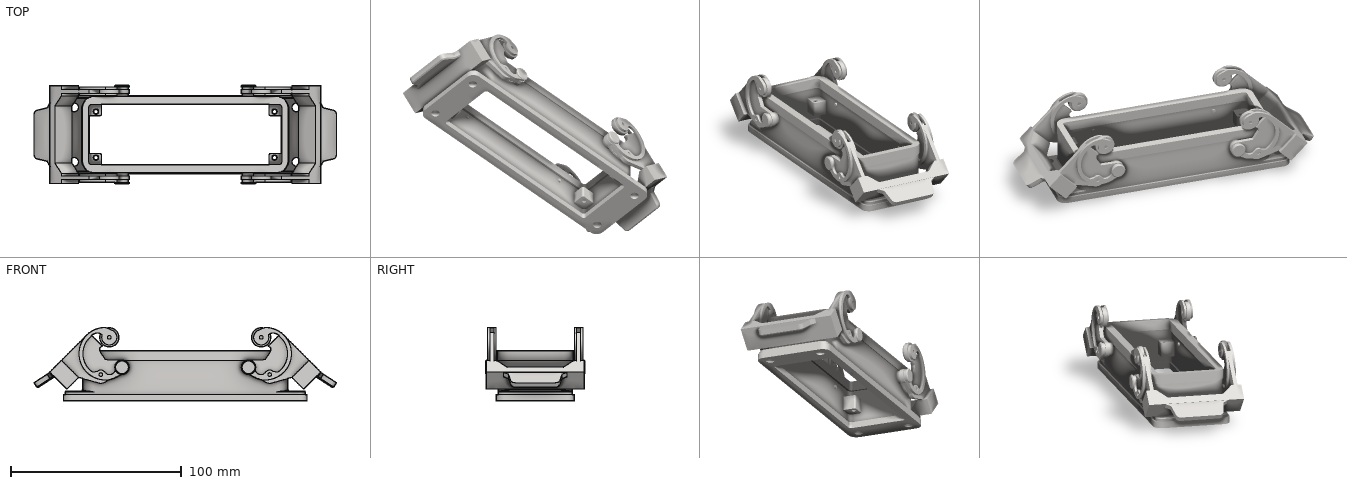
import cadquery as cq
import math

FLANGE_LENGTH, FLANGE_WIDTH, FLANGE_TOP = 142.7, 45.8, 3.7
FLANGE_CORNER = 5.0
STEP_LENGTH, STEP_TOP = 140.5, 5.8
STEP_CORNER = 3.9
STEP_CHAMFER = 0.5
WALL_LENGTH, WALL_WIDTH, WALL_TOP = 120.0, 43.5, 23.5
WALL_CORNER = 6.5
FOOT_FLARE = 0.7
RIM_LENGTH, RIM_WIDTH, RIM_TOP = 120.4, 44.6, 29.4
MOUTH_LENGTH, MOUTH_WIDTH, MOUTH_CORNER = 113.0, 35.2, 1.8
CAVITY_LENGTH, CAVITY_WIDTH, CAVITY_CORNER = 115.0, 37.9, 2.7
OPENING_LENGTH, OPENING_WIDTH = 111.9, 35.5

MOUNT_X, MOUNT_Y, MOUNT_RADIUS = 65.0, 16.0, 2.5
BLOCK_INNER_X, BLOCK_INNER_Y = 48.8, 11.0
BLOCK_BOTTOM, BLOCK_TOP = 9.2, 17.5
BLOCK_CORNER = 1.2
BLOCK_OVERLAP = 0.5
SCREW_X, SCREW_Y, SCREW_RADIUS = 52.2, 13.5, 1.2
SCREW_CHAMFER = 0.4

STUD_X, STUD_Z = -37.0, 19.6
STUD_HEAD_RADIUS, STUD_SHAFT_RADIUS = 4.2, 3.7
STUD_TIP = 29.0
STUD_HEAD_CHAMFER = 0.5
STUD_TAIL_RADIUS, STUD_TAIL_LENGTH = 1.0, 0.9

WEB_INNER, WEB_OUTER = 24.0, 26.4
CHEEK_INNER, CHEEK_OUTER = 22.8, 28.0
RING_X, RING_Z = -46.7, 27.6
RING_OUTER, RING_INNER = 15.4, 13.1
ROLLER_X, ROLLER_Z = -44.5, 37.2
ROLLER_RADIUS, ROLLER_CHEEK_RADIUS = 5.7, 4.5
PIN_X, PIN_Z = -49.4, 15.4
PIN_PAD_RADIUS, PIN_BELLY_RADIUS = 2.7, 5.1
CHEEK_DIP_MIDDLE = (-41.8, 16.5)
CHEEK_DIP_END = (-45.7, 15.5)
DIMPLE_RADIUS, DIMPLE_DEPTH = 1.0, 0.5
WEB_REACH, WEB_END_WIDTH = 22.8, 11.0
THROAT_X, THROAT_TOP, THROAT_BOTTOM = -49.9, 31.0, 29.0
THROAT_FLOOR_X, THROAT_FLOOR_Z = -46.7, 24.0
HOOK_ROOF = (-53.1, 39.3)
HOOK_LIP = (-49.4, 39.1)

BAR_DEPTH, BAR_HEIGHT, BAR_HALF_WIDTH = 9.7, 14.2, 28.7
BAR_TOP_Z = 23.7
BAR_FLOOR = 4.2
NOTCH_FLOOR, NOTCH_MOUTH = 16.6, 22.7

TAB_ANGLE = math.radians(33)
TAB_THICKNESS = 3.7
TAB_END_X = -88.5
TAB_ROOT_X, TAB_ROOT_Z = -78.2, 15.0
TAB_BURIED = 1.8
TAB_FLARE, TAB_FLARE_LENGTH = 18.5, 1.8
TAB_ROOT, TAB_TIP = 15.8, 13.8
TAB_CORNER = 2.7
TAB_CHAMFER = 0.7

DIAGONAL = math.sqrt(0.5)

BAR_TOP_X = RING_X - RING_Z - RING_OUTER / DIAGONAL + BAR_TOP_Z


def on_slope(up, across):
    """Point in the XZ plane, up the 45 degree lever edge and down across it."""
    return BAR_TOP_X + (up + across) * DIAGONAL, BAR_TOP_Z + (up - across) * DIAGONAL


def on_circle(x, z, radius, degrees):
    angle = math.radians(degrees)
    return x + radius * math.cos(angle), z + radius * math.sin(angle)


def on_ring(radius, degrees):
    return on_circle(RING_X, RING_Z, radius, degrees)


def rounded_block(length, width, bottom, top, corner):
    block = cq.Workplane("XY", origin=(0, 0, bottom)).rect(length, width).extrude(top - bottom)
    return block.edges("|Z").fillet(corner)


def disc(x, z, radius, inner, outer):
    """Cylinder along Y on the -Y side, between two distances from the XZ plane."""
    return cq.Workplane("XZ", origin=(x, -inner, z)).circle(radius).extrude(outer - inner)



def make_shell():
    flange = rounded_block(FLANGE_LENGTH, FLANGE_WIDTH, 0, FLANGE_TOP, FLANGE_CORNER)
    step = rounded_block(STEP_LENGTH, WALL_WIDTH, FLANGE_TOP, STEP_TOP, STEP_CORNER)
    step = step.faces(">Z").edges().chamfer(STEP_CHAMFER)
    foot_length = WALL_LENGTH + 2 * FOOT_FLARE
    foot_width = WALL_WIDTH - 2 * STEP_CHAMFER
    foot = rounded_block(foot_length, foot_width, FLANGE_TOP, STEP_TOP + FOOT_FLARE, WALL_CORNER)
    foot = foot.faces(">Z").edges().chamfer(FOOT_FLARE)
    wall = rounded_block(WALL_LENGTH, WALL_WIDTH, FLANGE_TOP, WALL_TOP, WALL_CORNER)
    rim = rounded_block(RIM_LENGTH, RIM_WIDTH, WALL_TOP, RIM_TOP, WALL_CORNER)
    shell = flange.union(step).union(foot).union(wall).union(rim)

    opening = rounded_block(OPENING_LENGTH, OPENING_WIDTH, 0, FLANGE_TOP, MOUTH_CORNER)
    cavity = rounded_block(CAVITY_LENGTH, CAVITY_WIDTH, FLANGE_TOP, WALL_TOP, CAVITY_CORNER)
    mouth = rounded_block(MOUTH_LENGTH, MOUTH_WIDTH, WALL_TOP, RIM_TOP, MOUTH_CORNER)
    return shell.cut(opening).cut(cavity).cut(mouth)


def make_corner_block():
    """Screw block in the +X +Y corner, sunk a little into both walls."""
    length = CAVITY_LENGTH / 2 + BLOCK_OVERLAP - BLOCK_INNER_X
    width = CAVITY_WIDTH / 2 + BLOCK_OVERLAP - BLOCK_INNER_Y
    block = cq.Workplane("XY", origin=(BLOCK_INNER_X, BLOCK_INNER_Y, BLOCK_BOTTOM))
    block = block.rect(length, width, centered=False).extrude(BLOCK_TOP - BLOCK_BOTTOM)
    screw = cq.Workplane("XY", origin=(SCREW_X, SCREW_Y, BLOCK_BOTTOM))
    block = block.edges("|Z").fillet(BLOCK_CORNER)
    block = block.cut(screw.circle(SCREW_RADIUS).extrude(BLOCK_TOP - BLOCK_BOTTOM))
    mouth = cq.selectors.NearestToPointSelector((SCREW_X, SCREW_Y, BLOCK_TOP))
    return block.faces(">Z").edges("%CIRCLE").edges(mouth).chamfer(SCREW_CHAMFER)


def make_housing():
    housing = make_shell()
    mounts = [(sx * MOUNT_X, sy * MOUNT_Y) for sx in (-1, 1) for sy in (-1, 1)]
    housing = housing.cut(cq.Workplane("XY").pushPoints(mounts).circle(MOUNT_RADIUS).extrude(STEP_TOP))
    block = make_corner_block()
    pair = block.union(block.mirror("XZ"))
    return housing.union(pair).union(pair.mirror("YZ"))



def make_web():
    outline = (
        cq.Workplane("XZ", origin=(0, -WEB_INNER, 0))
        .moveTo(*on_slope(0, 0))
        .lineTo(*on_slope(WEB_REACH, 0))
        .lineTo(*on_slope(WEB_REACH, WEB_END_WIDTH))
        .lineTo(THROAT_X, THROAT_TOP)
        .lineTo(THROAT_X, THROAT_BOTTOM)
        .lineTo(THROAT_FLOOR_X, THROAT_FLOOR_Z)
        .lineTo(STUD_X, STUD_Z + STUD_HEAD_RADIUS)
        .lineTo(STUD_X, STUD_Z - STUD_HEAD_RADIUS)
        .lineTo(*on_circle(PIN_X, PIN_Z, PIN_BELLY_RADIUS, -45))
        .threePointArc(
            on_circle(PIN_X, PIN_Z, PIN_BELLY_RADIUS, -90),
            on_circle(PIN_X, PIN_Z, PIN_BELLY_RADIUS, -110),
        )
        .lineTo(*on_slope(0, BAR_HEIGHT))
        .close()
    )
    web = outline.extrude(WEB_OUTER - WEB_INNER)
    web = web.union(disc(STUD_X, STUD_Z, STUD_HEAD_RADIUS, WEB_INNER, WEB_OUTER))
    return web.union(disc(ROLLER_X, ROLLER_Z, ROLLER_RADIUS, WEB_INNER, WEB_OUTER))


def make_cheek(inner, outer):
    """Hooked plate: a ring open toward the housing, from the roller round to the stud."""
    outline = (
        cq.Workplane("XZ", origin=(0, -inner, 0))
        .moveTo(*on_ring(RING_OUTER, 90))
        .threePointArc(on_ring(RING_OUTER, 180), on_ring(RING_OUTER, 290))
        .lineTo(*on_circle(STUD_X, STUD_Z, STUD_SHAFT_RADIUS, -80))
        .lineTo(STUD_X, STUD_Z)
        .lineTo(*on_circle(STUD_X, STUD_Z, STUD_SHAFT_RADIUS, 180))
        .threePointArc(CHEEK_DIP_MIDDLE, CHEEK_DIP_END)
        .lineTo(*on_circle(PIN_X, PIN_Z, PIN_PAD_RADIUS, 45))
        .threePointArc(
            on_circle(PIN_X, PIN_Z, PIN_PAD_RADIUS, 90),
            on_circle(PIN_X, PIN_Z, PIN_PAD_RADIUS, 135),
        )
        .lineTo(*on_ring(RING_INNER, 236))
        .threePointArc(on_ring(RING_INNER, 180), on_ring(RING_INNER, 130))
        .threePointArc(HOOK_ROOF, HOOK_LIP)
        .lineTo(ROLLER_X, ROLLER_Z)
        .lineTo(*on_circle(ROLLER_X, ROLLER_Z, ROLLER_CHEEK_RADIUS, 65))
        .close()
    )
    cheek = outline.extrude(outer - inner)
    return cheek.union(disc(ROLLER_X, ROLLER_Z, ROLLER_CHEEK_RADIUS, inner, outer))


def make_stud():
    shaft = disc(STUD_X, STUD_Z, STUD_SHAFT_RADIUS, (CAVITY_WIDTH + WALL_WIDTH) / 4, CHEEK_OUTER)
    head = disc(STUD_X, STUD_Z, STUD_HEAD_RADIUS, CHEEK_OUTER, STUD_TIP)
    head = head.faces("<Y").edges().chamfer(STUD_HEAD_CHAMFER)
    tail_end = CAVITY_WIDTH / 2 - STUD_TAIL_LENGTH
    tail = disc(STUD_X, STUD_Z, STUD_TAIL_RADIUS, tail_end, WALL_WIDTH / 2)
    return shaft.union(head).union(tail)


def make_arm():
    arm = make_web().union(make_cheek(CHEEK_INNER, WEB_INNER)).union(make_cheek(WEB_OUTER, CHEEK_OUTER))
    for x, z in ((ROLLER_X, ROLLER_Z), (PIN_X, PIN_Z)):
        arm = arm.cut(disc(x, z, DIMPLE_RADIUS, CHEEK_INNER, CHEEK_INNER + DIMPLE_DEPTH))
        arm = arm.cut(disc(x, z, DIMPLE_RADIUS, CHEEK_OUTER - DIMPLE_DEPTH, CHEEK_OUTER))
    return arm.union(make_stud())


def make_crossbar():
    face = cq.Plane(
        origin=(BAR_TOP_X, 0, BAR_TOP_Z), xDir=(0, -1, 0), normal=(-DIAGONAL, 0, DIAGONAL)
    )
    floor = BAR_FLOOR - BAR_DEPTH
    outline = [
        (-BAR_HALF_WIDTH, -BAR_DEPTH),
        (BAR_HALF_WIDTH, -BAR_DEPTH),
        (BAR_HALF_WIDTH, 0),
        (NOTCH_MOUTH, 0),
        (NOTCH_FLOOR, floor),
        (-NOTCH_FLOOR, floor),
        (-NOTCH_MOUTH, 0),
        (-BAR_HALF_WIDTH, 0),
    ]
    return cq.Workplane(face).polyline(outline).close().extrude(-BAR_HEIGHT)


def make_tab():
    sine = math.sin(TAB_ANGLE)
    cosine = math.cos(TAB_ANGLE)
    middle = cq.Plane(
        origin=(TAB_ROOT_X, 0, TAB_ROOT_Z), xDir=(-cosine, 0, -sine), normal=(-sine, 0, cosine)
    )
    length = (TAB_ROOT_X - TAB_END_X - TAB_THICKNESS / 2 * sine) / cosine
    outline = [
        (-TAB_BURIED, -TAB_FLARE),
        (0, -TAB_FLARE),
        (TAB_FLARE_LENGTH, -TAB_ROOT),
        (length, -TAB_TIP),
        (length, TAB_TIP),
        (TAB_FLARE_LENGTH, TAB_ROOT),
        (0, TAB_FLARE),
        (-TAB_BURIED, TAB_FLARE),
    ]
    tab = cq.Workplane(middle).polyline(outline).close().extrude(TAB_THICKNESS / 2, both=True)
    tip_corners = cq.selectors.ParallelDirSelector(middle.zDir)
    tip = cq.selectors.DirectionMinMaxSelector(middle.xDir, True)
    tab = tab.faces(tip).edges(tip_corners).fillet(TAB_CORNER)
    underside = cq.selectors.DirectionMinMaxSelector(middle.zDir, False)
    return tab.faces(underside).edges().chamfer(TAB_CHAMFER)


arm = make_arm()
lever = arm.union(arm.mirror("XZ")).union(make_crossbar()).union(make_tab())
result = make_housing().union(lever).union(lever.mirror("YZ"))